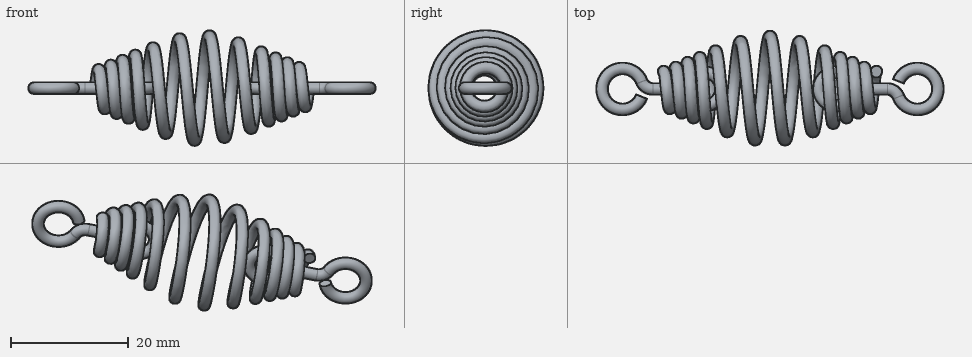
import cadquery as cq
import math

overall_length = 59.0
wire_radius = 1.0

turn_positions = [0.0, 5.0, 9.25, 11.9, 14.0, 16.0, 18.05]
turn_radii = [8.9, 8.0, 6.45, 5.3, 4.5, 3.65, 2.95]
turns_per_half = len(turn_positions) - 1
points_per_turn = 12

eye_radius = 3.5
ring_radius = 2.85
ring_tip = 7.3
shank_end = 19.9
eye_center = overall_length / 2 - wire_radius - eye_radius
ring_center = ring_tip + wire_radius + ring_radius

bend_run = eye_center - shank_end
bend_radius = (bend_run**2 - eye_radius**2) / (2 * eye_radius)
eye_opening_angle = math.atan2(bend_radius, bend_run)


def smooth_value(before, start, end, after, fraction):
    """Catmull-Rom curve between start and end."""
    start_slope = (end - before) / 2
    end_slope = (after - start) / 2
    rise = end - start
    square_term = 3 * rise - 2 * start_slope - end_slope
    cube_term = start_slope + end_slope - 2 * rise
    return start + fraction * (start_slope + fraction * (square_term + fraction * cube_term))


def value_at_turn(values, turn, parity):
    """Smooth value of a per-turn list; parity -1 or 1 continues it past the middle as odd or even."""
    index = min(int(turn), turns_per_half - 1)
    fraction = turn - index
    before = values[index - 1] if index > 0 else parity * values[1]
    start = values[index]
    end = values[index + 1]
    after = values[index + 2] if index + 2 < len(values) else 2 * end - start
    return smooth_value(before, start, end, after, fraction)


def coil_point(turn):
    """Point on the coil centreline, where turn 0 is the middle, on the +Y side."""
    position = math.copysign(value_at_turn(turn_positions, abs(turn), -1), turn)
    radius = value_at_turn(turn_radii, abs(turn), 1)
    angle = 2 * math.pi * turn
    return cq.Vector(position, radius * math.cos(angle), radius * math.sin(angle))


def make_spring():
    last_point = turns_per_half * points_per_turn
    points = [coil_point(i / points_per_turn) for i in range(-last_point, last_point + 1)]
    centreline = cq.Edge.makeSpline(points)
    start_plane = cq.Plane(origin=points[0], normal=centreline.tangentAt(0))
    path = cq.Workplane(obj=cq.Wire.assembleEdges([centreline]))
    return cq.Workplane(start_plane).circle(wire_radius).sweep(path, isFrenet=True)


def eye_point(angle):
    return (-eye_center + eye_radius * math.cos(angle), eye_radius * math.sin(angle))


def make_hook():
    """Hook at the -X end, lying flat in the XY plane."""
    bend_sweep = math.pi / 2 - eye_opening_angle
    bend_middle_angle = -math.pi / 2 - bend_sweep / 2
    bend_middle = (
        -shank_end + bend_radius * math.cos(bend_middle_angle),
        bend_radius + bend_radius * math.sin(bend_middle_angle),
    )
    shank_start = -ring_center - ring_radius
    path = (
        cq.Workplane("XY")
        .moveTo(shank_start, 0)
        .lineTo(-shank_end, 0)
        .threePointArc(bend_middle, eye_point(eye_opening_angle))
        .threePointArc(eye_point(math.pi), eye_point(-eye_opening_angle))
    )
    shank_and_eye = cq.Workplane("YZ", origin=(shank_start, 0, 0)).circle(wire_radius).sweep(path)
    ring = cq.Workplane(obj=cq.Solid.makeTorus(ring_radius, wire_radius, cq.Vector(-ring_center, 0, 0)))
    return shank_and_eye.union(ring).solids()


spring = make_spring()
hooks = [make_hook().rotate((0, 0, 0), (0, 0, 1), turn) for turn in (0, 180)]

result = cq.Compound.makeCompound([spring.val(), *[hook.val() for hook in hooks]])